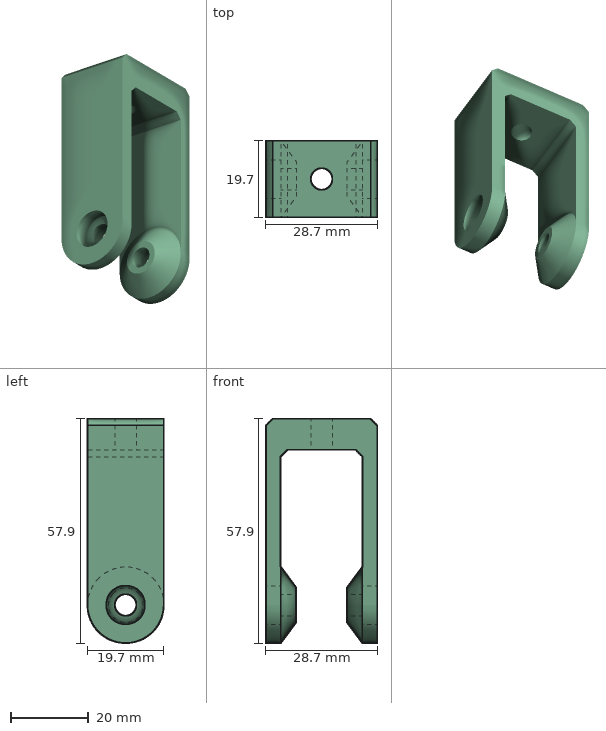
import cadquery as cq

width = 28.7
depth = 19.7
height = 57.85

arm_thickness = 3.8
bridge_thickness = 8.05
outer_chamfer = 1.75
inner_chamfer = 1.75

boss_height = 4.0
boss_tip_diameter = 8.95
hole_diameter = 5.5
counterbore_diameter = 10.0
counterbore_depth = arm_thickness

end_radius = depth / 2
pivot_z = end_radius
gap = width - 2 * arm_thickness
slot_top = height - bridge_thickness


def make_fork():
    """Chamfered block with a slot open at the bottom and rounded arm ends."""
    block = cq.Workplane("XY").box(width, depth, height, centered=(True, True, False))
    block = block.faces(">Z").edges("|Y").chamfer(outer_chamfer)

    slot = cq.Workplane("XY").box(gap, depth, slot_top, centered=(True, True, False))
    slot = slot.faces(">Z").edges("|Y").chamfer(inner_chamfer)

    side_outline = (
        cq.Workplane("YZ")
        .moveTo(-end_radius, height)
        .lineTo(-end_radius, pivot_z)
        .threePointArc((0, 0), (end_radius, pivot_z))
        .lineTo(end_radius, height)
        .close()
        .extrude(width / 2, both=True)
    )
    return block.cut(slot).intersect(side_outline)


def boss_cone(side, start_x, length, base_radius, tip_radius):
    """Cone on the pivot axis, narrowing inward from one arm (side is -1 or 1)."""
    return cq.Workplane(
        cq.Solid.makeCone(
            base_radius,
            tip_radius,
            length,
            pnt=cq.Vector(side * start_x, 0, pivot_z),
            dir=cq.Vector(-side, 0, 0),
        )
    )


def pivot_cylinder(side, length, diameter):
    """Cylinder on the pivot axis, running inward from the outer face of one arm."""
    return (
        cq.Workplane("YZ", origin=(side * width / 2, 0, 0))
        .center(0, pivot_z)
        .circle(diameter / 2)
        .extrude(-side * length)
    )


result = make_fork()

for side in (-1, 1):
    boss = boss_cone(side, gap / 2, boss_height, end_radius, boss_tip_diameter / 2)
    pivot_hole = pivot_cylinder(side, arm_thickness + boss_height, hole_diameter)
    counterbore = pivot_cylinder(side, counterbore_depth, counterbore_diameter)
    result = result.union(boss).cut(pivot_hole).cut(counterbore)

mounting_hole = (
    cq.Workplane("XY", origin=(0, 0, slot_top))
    .circle(hole_diameter / 2)
    .extrude(bridge_thickness)
)
result = result.cut(mounting_hole)